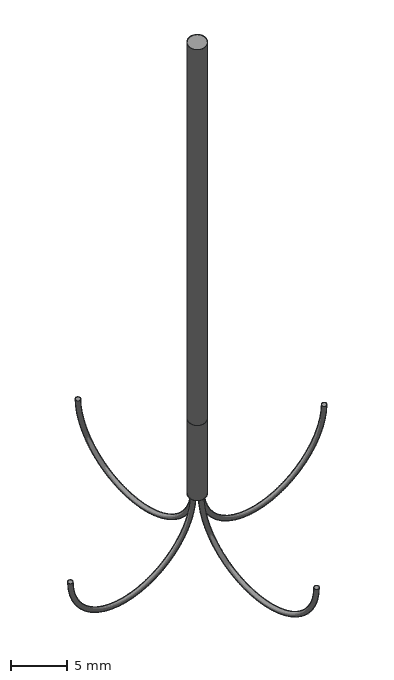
import cadquery as cq

overall_height = 67.8
overall_width = 31.5
rod_diameter = 1.8
shaft_length = 50.0
wire_diameter = 0.5
hook_offset = 0.5
bend_angle = 180
hook_count = 4

wire_radius = wire_diameter / 2
bend_radius = (overall_width / 2 - wire_radius - hook_offset) / 2
collar_length = overall_height - shaft_length - bend_radius - wire_radius


def make_collar():
    """Short cylinder whose bottom face, at Z = 0, carries the hooks."""
    return cq.Workplane("XY").circle(rod_diameter / 2).extrude(collar_length)


def make_shaft():
    """Long cylinder standing on the collar."""
    return (
        cq.Workplane("XY")
        .workplane(offset=collar_length)
        .circle(rod_diameter / 2)
        .extrude(shaft_length)
    )


def make_hook(angle):
    """Round wire bent down and outward in a half ring, then turned about Z by angle in degrees."""
    hook = (
        cq.Workplane("XY")
        .center(hook_offset, 0)
        .circle(wire_radius)
        .revolve(bend_angle, (bend_radius, 0.7), (bend_radius, 0))
    )
    return hook.rotate((0, 0, 0), (0, 0, 1), angle)


shaft = make_shaft()
collar = make_collar()
hooks = [make_hook(index * 360 / hook_count) for index in range(hook_count)]

result = cq.Compound.makeCompound(
    [shaft.val(), collar.val(), *[hook.val() for hook in hooks]]
)